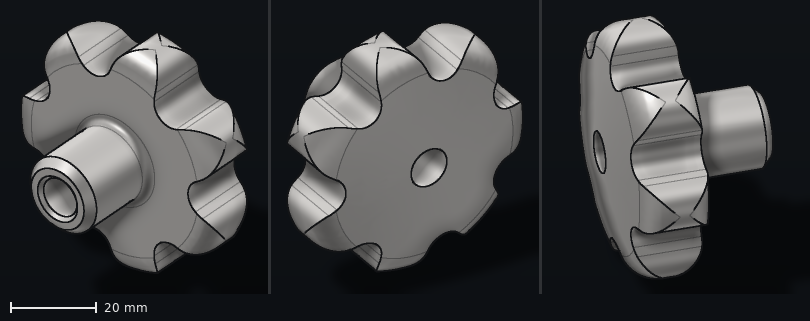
import cadquery as cq
import math

lobe_count = 7
rim_radius = 31.5
lobe_radius = 6.55
lobe_centre = rim_radius - lobe_radius
notch_radius = 5.0
notch_centre = 27.1
pitch = 360 / lobe_count
first_lobe_angle = 180

dome_height = 18.95
under_round = 6.35
rim_flat = 2.35
top_round = 8.0

stem_radius = 10.0
stem_length = 21.0
stem_chamfer = 2.05
stem_chamfer_length = 2.15
root_fillet = 2.05
bore_radius = 5.0
bore_chamfer = 1.0


def polar(radius, degrees):
    angle = math.radians(degrees)
    return radius * math.cos(angle), radius * math.sin(angle)


def offset(point, radius, degrees):
    dx, dy = polar(radius, degrees)
    return point[0] + dx, point[1] + dy


def make_lobed_prism():
    """Lobe and notch arcs joined by short straight tangent lines."""
    nx, nz = polar(notch_centre, pitch / 2)
    dx = nx - lobe_centre
    spacing = math.hypot(dx, nz)
    turn = math.degrees(math.acos((lobe_radius + notch_radius) / spacing))
    normal = math.degrees(math.atan2(nz, dx)) - turn

    start = offset(polar(lobe_centre, first_lobe_angle), lobe_radius, first_lobe_angle - normal)
    outline = cq.Workplane("XZ").moveTo(*start)
    for i in range(lobe_count):
        axis = first_lobe_angle + i * pitch
        lobe = polar(lobe_centre, axis)
        notch_axis = axis + pitch / 2
        notch = polar(notch_centre, notch_axis)
        next_axis = axis + pitch
        next_lobe = polar(lobe_centre, next_axis)
        outline = (
            outline.threePointArc(polar(rim_radius, axis), offset(lobe, lobe_radius, axis + normal))
            .lineTo(*offset(notch, notch_radius, axis + normal + 180))
            .threePointArc(
                polar(notch_centre - notch_radius, notch_axis),
                offset(notch, notch_radius, next_axis - normal + 180),
            )
        )
        if i < lobe_count - 1:
            outline = outline.lineTo(*offset(next_lobe, lobe_radius, next_axis - normal))
    return outline.close().extrude(-dome_height)


def make_domed_disc():
    """Rounded disc whose upper rim round is tangent to the spherical dome."""
    round_x = rim_radius - top_round
    round_y = under_round + rim_flat
    rise = dome_height - round_y
    dome_radius = (round_x**2 + rise**2 - top_round**2) / (2 * (rise - top_round))
    dome_centre = dome_height - dome_radius
    edge_angle = math.degrees(math.atan2(round_y - dome_centre, round_x))
    dome_middle = offset((0, dome_centre), dome_radius, (edge_angle + 90) / 2)
    dome_edge = offset((0, dome_centre), dome_radius, edge_angle)
    round_middle = offset((round_x, round_y), top_round, edge_angle / 2)
    under_x = rim_radius - under_round
    under_middle = offset((under_x, under_round), under_round, -45)
    return (
        cq.Workplane("XY")
        .lineTo(under_x, 0)
        .threePointArc(under_middle, (rim_radius, under_round))
        .lineTo(rim_radius, round_y)
        .threePointArc(round_middle, dome_edge)
        .threePointArc(dome_middle, (0, dome_height))
        .close()
        .revolve(360, (0, 0), (0, 1))
    )


def make_stem():
    """Chamfered stem with a concave fillet at its root, sunk into the head."""
    overlap = under_round
    root_radius = stem_radius + root_fillet
    fillet_middle = offset((root_radius, -root_fillet), root_fillet, 135)
    return (
        cq.Workplane("XY")
        .moveTo(0, overlap)
        .lineTo(root_radius, overlap)
        .lineTo(root_radius, 0)
        .threePointArc(fillet_middle, (stem_radius, -root_fillet))
        .lineTo(stem_radius, stem_chamfer_length - stem_length)
        .lineTo(stem_radius - stem_chamfer, -stem_length)
        .lineTo(0, -stem_length)
        .close()
        .revolve(360, (0, 0), (0, 1))
    )


def make_bore():
    """Through bore with a chamfered mouth at the stem end."""
    return (
        cq.Workplane("XY")
        .moveTo(0, -stem_length)
        .lineTo(bore_radius + bore_chamfer, -stem_length)
        .lineTo(bore_radius, bore_chamfer - stem_length)
        .lineTo(bore_radius, dome_height)
        .lineTo(0, dome_height)
        .close()
        .revolve(360, (0, 0), (0, 1))
    )


head = make_domed_disc().intersect(make_lobed_prism())
result = head.union(make_stem()).cut(make_bore())